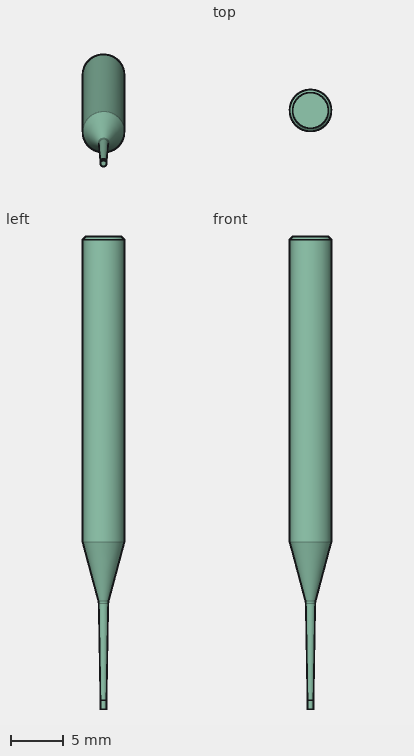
import cadquery as cq
import math

overall_length = 45.0
shank_radius = 2.0
shank_chamfer = 0.3

tip_length = 0.9
tip_radius = 0.3

cone_bottom_z = 10.35
cone_bottom_radius = 0.5
cone_half_angle = math.radians(15.0)
cone_top_z = cone_bottom_z + (shank_radius - cone_bottom_radius) / math.tan(cone_half_angle)

collar_height = 0.25
collar_bottom_z = cone_bottom_z - collar_height
neck_top_radius = 0.46
neck_bottom_radius = tip_radius


def revolve_about_z(half_profile):
    """Turn a closed (radius, height) profile, drawn on the -Y side, about the Z axis."""
    return half_profile.close().revolve(360, (0, 0, 0), (0, 1, 0))


def make_holder():
    """Shank, cone, collar and neck, turned as one piece."""
    profile = (
        cq.Workplane("YZ")
        .moveTo(0, tip_length)
        .lineTo(-neck_bottom_radius, tip_length)
        .lineTo(-neck_top_radius, collar_bottom_z)
        .lineTo(-cone_bottom_radius, cone_bottom_z)
        .lineTo(-shank_radius, cone_top_z)
        .lineTo(-shank_radius, overall_length - shank_chamfer)
        .lineTo(-shank_radius + shank_chamfer, overall_length)
        .lineTo(0, overall_length)
    )
    return revolve_about_z(profile)


def make_cutting_tip():
    """Plain cylindrical cutting tip, square at its lower end."""
    profile = (
        cq.Workplane("YZ")
        .lineTo(-tip_radius, 0)
        .lineTo(-tip_radius, tip_length)
        .lineTo(0, tip_length)
    )
    return revolve_about_z(profile)


holder = make_holder()
cutting_tip = make_cutting_tip()

result = cq.Compound.makeCompound([holder.val(), cutting_tip.val()])